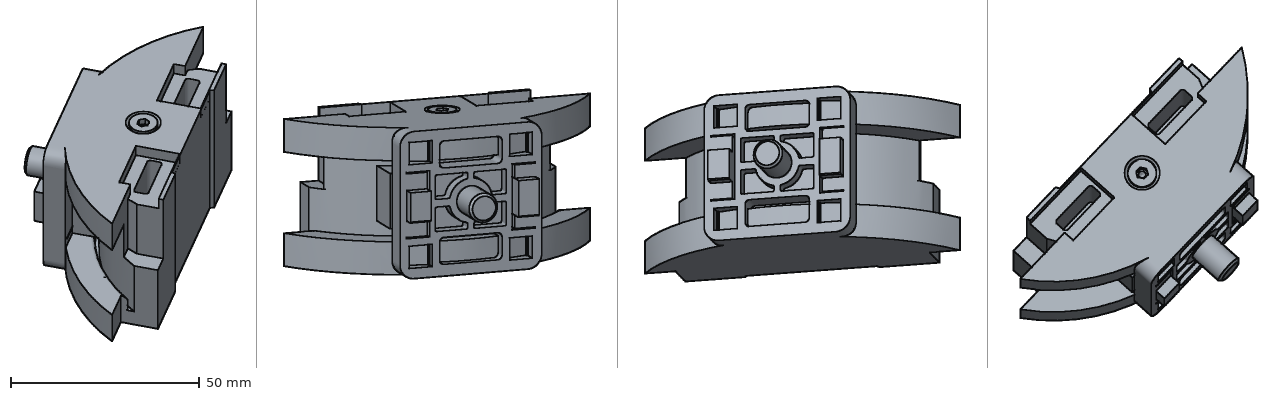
import cadquery as cq
import math

plate_side = 40.1
plate_thickness = 6.1
plate_corner_radius = 4.0
half_height = plate_side / 2

flange_half_width = 43.35
flange_thickness = 9.0
flange_radius = 51.7
flange_back = 25.8
flange_inner = half_height - flange_thickness
axis_x = flange_back + math.sqrt(flange_radius**2 - flange_half_width**2)

core_radius = 42.65
core_block_back = 13.35
core_block_half = math.sqrt(core_radius**2 - (axis_x - core_block_back)**2)

groove_width = 1.0
groove_floor = -15.6
groove_rounding = 1.2

rear_face = 35.0
foot_half_width = 34.9
upper_half_width = 29.8
upper_slant_x = 28.8
upper_slant_half = 28.35

lip_back = 36.1
lip_inner_end = 17.95
lip_end_slant = 0.5

rear_pocket_depth = 3.2
rear_pocket_x = (22.7, 34.8)
rear_pocket_y = (10.0, 26.0)
rear_slot_x = (26.4, 30.35)
rear_slot_y = (11.0, 25.0)
rear_slot_corner = 0.9
rear_slot_floor = 0.0

pin_radius = 4.0
pin_length = 10.1
pin_chamfer = 0.7
boss_radius = 6.1

corner_pocket_y = (11.0, 17.4)
corner_pocket_z = (11.1, 17.2)
corner_pocket_ledge = (1.8, 3.2)
corner_pocket_ledge_drop = 0.7
corner_pocket_narrow_y = (11.3, 17.0)
long_slot_half = 8.85
long_slot_z = (9.45, 16.8)
long_slot_corner = 1.3
quadrant_y = (0.9, 10.1)
quadrant_z = (1.0, 7.7)
quadrant_depth = 3.7
quadrant_corner = 0.5

hook_y = (12.4, 18.2)
hook_length = 3.0
hook_chamfer = 0.35
hook_half_heights = {1: 4.2, -1: 5.0}
tab_half_height = 9.0
tab_slit = 0.35
tab_gap_inner = 11.7
tab_ramp_half_height = 5.0

side_pad_x = 6.5
side_pad_edge = 20.5
side_pad_half_height = 7.5

screw_x = 21.85
screw_sink_radius = 4.7
screw_head_radius = 3.8
hex_across_flats = 2.9
hex_depth = 1.7
hex_drill_radius = 0.95


def block(x, y, z):
    """Box spanning the given (low, high) ranges."""
    size = [high - low for low, high in (x, y, z)]
    return cq.Workplane("XY").box(*size, centered=False).translate((x[0], y[0], z[0]))


def side_range(side, span):
    """Range mirrored to the positive (1) or negative (-1) side."""
    return tuple(sorted(side * value for value in span))


def disc(radius, z):
    """Cylinder about the common flange and core axis."""
    return cq.Workplane("XY", origin=(axis_x, 0, z[0])).circle(radius).extrude(z[1] - z[0])


def slanted_pocket(y, depths):
    """Corner pocket between two walls y, its floor slanting between the two depths."""
    return (
        cq.Workplane("XY", origin=(0, 0, corner_pocket_z[0]))
        .moveTo(0, y[0])
        .lineTo(depths[0], y[0])
        .lineTo(depths[1], y[1])
        .lineTo(0, y[1])
        .close()
        .extrude(corner_pocket_z[1] - corner_pocket_z[0])
    )


def corner_pocket():
    """Pocket in the +Y +Z corner, with a narrow ledge along two walls."""
    floor_depths = [depth + corner_pocket_ledge_drop for depth in corner_pocket_ledge]
    wide = slanted_pocket(corner_pocket_y, corner_pocket_ledge)
    return wide.union(slanted_pocket(corner_pocket_narrow_y, floor_depths))


def mounting_plate():
    through = (0, plate_thickness)
    side = (-half_height, half_height)
    plate = block(through, side, side).edges("|X").fillet(plate_corner_radius)
    boss = cq.Workplane("YZ").circle(boss_radius).extrude(plate_thickness)
    for z_side in (1, -1):
        long_slot = block(through, (-long_slot_half, long_slot_half), side_range(z_side, long_slot_z))
        plate = plate.cut(long_slot.edges("|X").fillet(long_slot_corner))
        for y_side in (1, -1):
            quadrant_x = (0, quadrant_depth)
            quadrant = block(quadrant_x, side_range(y_side, quadrant_y), side_range(z_side, quadrant_z))
            plate = plate.cut(quadrant.cut(boss).edges("|X").fillet(quadrant_corner))
    upper_pockets = corner_pocket().union(corner_pocket().mirror("XZ"))
    return plate.cut(upper_pockets).cut(upper_pockets.mirror("XY"))


def with_tab_slits(plate):
    through = (0, plate_thickness)
    for y_side in (1, -1):
        gap = side_range(y_side, (tab_gap_inner, hook_y[0]))
        plate = plate.cut(block(through, gap, (-tab_half_height, tab_half_height)))
        for z_side in (1, -1):
            slit_z = side_range(z_side, (tab_half_height - tab_slit, tab_half_height))
            plate = plate.cut(block(through, side_range(y_side, hook_y), slit_z))
    ramp = (
        cq.Workplane("XY", origin=(0, 0, -tab_ramp_half_height))
        .moveTo(0, -hook_y[0])
        .lineTo(plate_thickness, -hook_y[0])
        .lineTo(plate_thickness, -tab_gap_inner)
        .close()
        .extrude(2 * tab_ramp_half_height)
    )
    return plate.union(ramp)


def hooks():
    shapes = cq.Workplane("XY")
    for y_side, half in hook_half_heights.items():
        hook = block((-hook_length, 0), side_range(y_side, hook_y), (-half, half))
        shapes = shapes.add(hook.faces("<X").edges("<Z").chamfer(hook_chamfer))
    return shapes.combine()


def pin():
    shaft = cq.Workplane("YZ", origin=(-pin_length, 0, 0)).circle(pin_radius)
    return shaft.extrude(pin_length + plate_thickness).faces("<X").chamfer(pin_chamfer)


def flange(z):
    front_part = block((0, flange_back), (-flange_half_width, flange_half_width), z)
    return disc(flange_radius, z).intersect(front_part)


def ring_groove():
    inner = core_radius
    outer = core_radius + groove_width
    top = -flange_inner
    corner_z = top - groove_rounding
    arc_offset = groove_rounding * (1 - math.sqrt(0.5))
    return (
        cq.Workplane("XZ")
        .moveTo(inner, groove_floor)
        .lineTo(outer, groove_floor)
        .lineTo(outer, corner_z)
        .threePointArc((outer + arc_offset, top - arc_offset), (outer + groove_rounding, top))
        .lineTo(inner, top)
        .close()
        .revolve(360, (0, 0, 0), (0, 1, 0))
        .translate((axis_x, 0, 0))
    )


def core():
    foot_y = (-foot_half_width, foot_half_width)
    lower_z = (-flange_inner, 0)
    upper_z = (0, flange_inner)
    lower = disc(core_radius, lower_z).intersect(block((0, rear_face), foot_y, lower_z))
    upper = disc(core_radius, upper_z).intersect(block((0, flange_back), foot_y, upper_z))
    neck = block(
        (plate_thickness, core_block_back),
        (-core_block_half, core_block_half),
        (-flange_inner, flange_inner),
    )
    side_pad = block(
        (side_pad_x, axis_x - math.sqrt(core_radius**2 - side_pad_edge**2)),
        (core_block_half, side_pad_edge),
        (-side_pad_half_height, side_pad_half_height),
    )
    return lower.union(upper).union(neck).union(side_pad)


def rear_foot():
    foot_z = (-half_height, -flange_inner)
    return block((flange_back, rear_face), (-foot_half_width, foot_half_width), foot_z)


def rear_upper_block():
    return (
        cq.Workplane("XY")
        .moveTo(flange_back, -upper_slant_half)
        .lineTo(upper_slant_x, -upper_half_width)
        .lineTo(rear_face, -upper_half_width)
        .lineTo(rear_face, upper_half_width)
        .lineTo(upper_slant_x, upper_half_width)
        .lineTo(flange_back, upper_slant_half)
        .close()
        .extrude(half_height)
    )


def rear_lip(half_width, z):
    """Raised strips at both ends of the rear face, with slanted inner ends."""
    strip = (
        cq.Workplane("XY", origin=(0, 0, z[0]))
        .moveTo(rear_face, lip_inner_end)
        .lineTo(lip_back, lip_inner_end + lip_end_slant)
        .lineTo(lip_back, half_width)
        .lineTo(rear_face, half_width)
        .close()
        .extrude(z[1] - z[0])
    )
    return strip.union(strip.mirror("XZ"))


def rear_pockets():
    floor = half_height - rear_pocket_depth
    slot_z = (rear_slot_floor, half_height)
    cuts = cq.Workplane("XY")
    for side in (1, -1):
        inside = block(rear_pocket_x, side_range(side, rear_pocket_y), (floor, half_height))
        open_end = block(
            (flange_back, rear_pocket_x[1]),
            side_range(side, (rear_pocket_y[0], upper_half_width)),
            (floor, half_height),
        )
        slot = block(rear_slot_x, side_range(side, rear_slot_y), slot_z)
        slot = slot.edges("|Z").fillet(rear_slot_corner)
        cuts = cuts.add(inside.union(open_end).union(slot))
    return cuts.combine()


def screw_recess():
    """Countersink groove around a flush screw head, with a hex socket in the head."""
    sink_depth = screw_sink_radius - screw_head_radius
    sink = (
        cq.Workplane("XZ")
        .moveTo(screw_head_radius, 0)
        .lineTo(screw_head_radius, -sink_depth)
        .lineTo(screw_sink_radius, 0)
        .close()
        .revolve(360, (0, 0, 0), (0, 1, 0))
    )
    hexagon = (
        cq.Workplane("XY")
        .polygon(6, hex_across_flats, circumscribed=True)
        .extrude(-hex_depth)
    )
    drill_tip = cq.Workplane("XY").add(
        cq.Solid.makeCone(0, hex_drill_radius, hex_drill_radius)
    ).translate((0, 0, -hex_depth - hex_drill_radius))
    return sink.union(hexagon).union(drill_tip).translate((screw_x, 0, half_height))


lower_flange = flange((-half_height, -flange_inner)).union(rear_foot()).cut(ring_groove())
upper_flange = flange((flange_inner, half_height))

result = (
    lower_flange.union(upper_flange)
    .union(core())
    .union(rear_upper_block())
    .union(rear_lip(foot_half_width, (-half_height, 0)))
    .union(rear_lip(upper_half_width, (0, half_height)))
    .union(with_tab_slits(mounting_plate()))
    .union(hooks())
    .union(pin())
    .cut(rear_pockets())
    .cut(screw_recess())
)